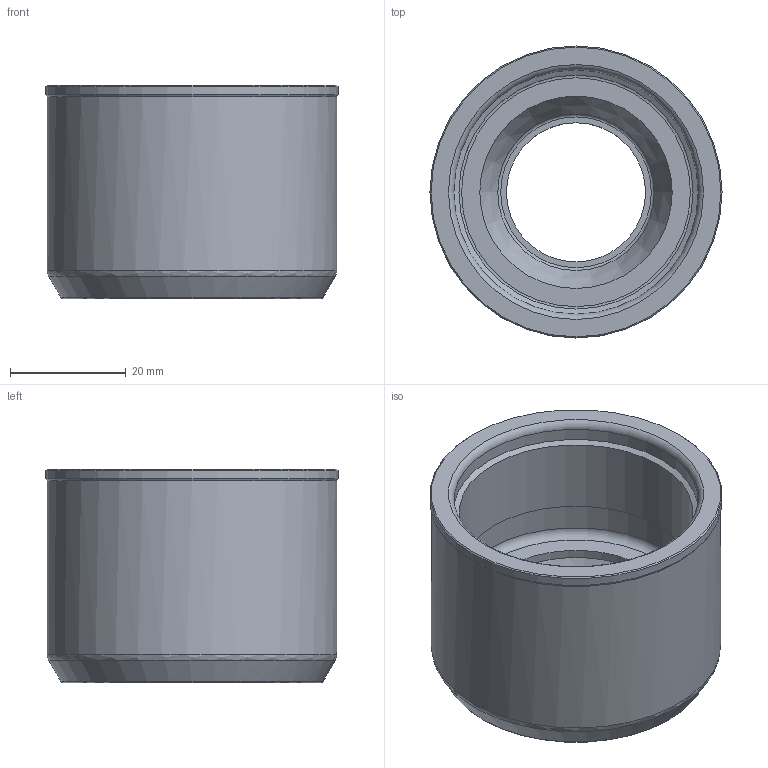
import cadquery as cq
import math

height = 36.8
body_diameter = 50.0

foot_diameter = 45.0
foot_taper = 30.0
shoulder_fillet = 2.0
foot_fillet = 0.5

rim_diameter = 50.4
rim_height = 2.0
rim_underside_angle = 30.0

mouth_diameter = 44.0
mouth_radius = 1.5
throat_diameter = 42.15

guide_diameter = 40.38
guide_top_z = 32.75
guide_bottom_z = 19.8
step_angle = 30.0

chamber_diameter = 42.5
floor_z = 13.0
floor_fillet = 1.5

lip_diameter = 33.21
lip_depth = 1.5
funnel_taper = 30.0
socket_diameter = 27.0
socket_floor_z = 5.0
socket_fillet = 0.5
hole_diameter = 24.0

body_r = body_diameter / 2
foot_r = foot_diameter / 2
rim_r = rim_diameter / 2
mouth_r = mouth_diameter / 2
throat_r = throat_diameter / 2
guide_r = guide_diameter / 2
chamber_r = chamber_diameter / 2
lip_r = lip_diameter / 2
socket_r = socket_diameter / 2
hole_r = hole_diameter / 2


def tan_deg(angle):
    return math.tan(math.radians(angle))


rim_step = rim_r - body_r
rim_root_z = height - rim_height
rim_underside_z = rim_root_z + rim_step / tan_deg(rim_underside_angle)
shoulder_z = (body_r - foot_r) / tan_deg(foot_taper)
step_top_z = guide_top_z + (throat_r - guide_r) * tan_deg(step_angle)
lip_bottom_z = floor_z - lip_depth
socket_top_z = lip_bottom_z - (lip_r - socket_r) / tan_deg(funnel_taper)


def turned_wall():
    """Revolve the wall section about Z, with its fillet corners left sharp."""
    arc_centre_r = throat_r + mouth_radius
    arc_angle = math.acos((arc_centre_r - mouth_r) / mouth_radius)
    arc_centre_z = height - mouth_radius * math.sin(arc_angle)
    arc_middle = (
        arc_centre_r - mouth_radius * math.cos(arc_angle / 2),
        arc_centre_z + mouth_radius * math.sin(arc_angle / 2),
    )
    return (
        cq.Workplane("XZ")
        .moveTo(hole_r, 0)
        .lineTo(foot_r, 0)
        .lineTo(body_r, shoulder_z)
        .lineTo(body_r, rim_root_z)
        .lineTo(rim_r, rim_underside_z)
        .lineTo(rim_r, height - rim_step)
        .lineTo(rim_r - rim_step, height)
        .lineTo(mouth_r, height)
        .threePointArc(arc_middle, (throat_r, arc_centre_z))
        .lineTo(throat_r, step_top_z)
        .lineTo(guide_r, guide_top_z)
        .lineTo(guide_r, guide_bottom_z)
        .lineTo(chamber_r, guide_bottom_z)
        .lineTo(chamber_r, floor_z)
        .lineTo(lip_r, floor_z)
        .lineTo(lip_r, lip_bottom_z)
        .lineTo(socket_r, socket_top_z)
        .lineTo(socket_r, socket_floor_z)
        .lineTo(hole_r, socket_floor_z)
        .close()
        .revolve(360, (0, 0, 0), (0, 1, 0))
    )


def fillet_ring(part, ring_radius, ring_z, fillet_radius):
    """Round the circular edge that has the given radius and height."""
    tolerance = 0.001
    rings = [
        edge
        for edge in part.edges("%CIRCLE").vals()
        if abs(edge.radius() - ring_radius) < tolerance
        and abs(edge.Center().z - ring_z) < tolerance
    ]
    return part.newObject(rings).fillet(fillet_radius)


result = turned_wall()
for ring_radius, ring_z, fillet_radius in (
    (foot_r, 0, foot_fillet),
    (body_r, shoulder_z, shoulder_fillet),
    (chamber_r, floor_z, floor_fillet),
    (socket_r, socket_floor_z, socket_fillet),
):
    result = fillet_ring(result, ring_radius, ring_z, fillet_radius)